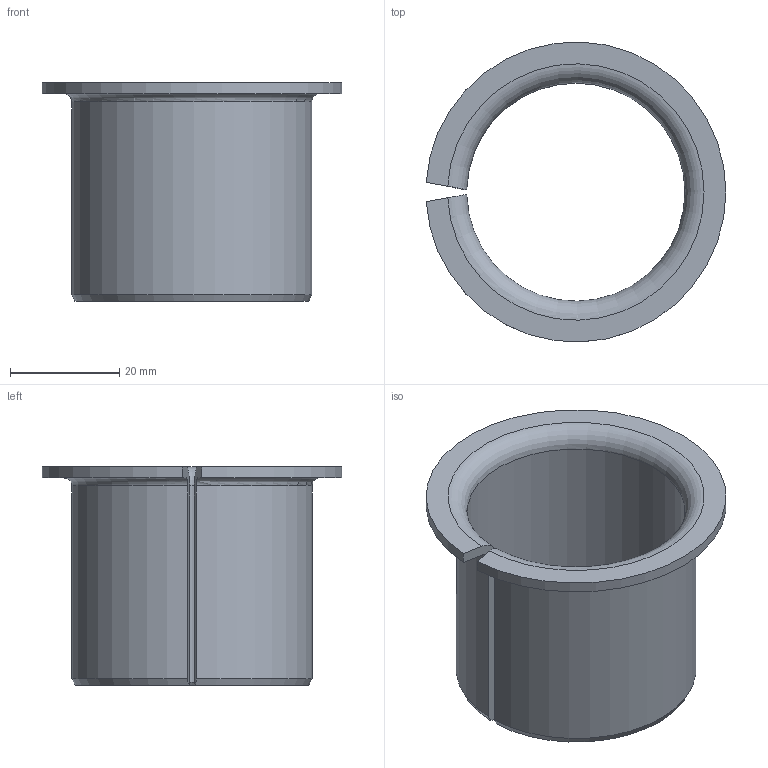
import cadquery as cq
import math

height = 40.0
bore_radius = 20.0
wall = 2.0
flange_radius = 27.5
inner_bend_radius = 3.5

outer_chamfer_height = 1.2
outer_chamfer_angle = 25.0
inner_chamfer_height = 0.5
inner_chamfer_angle = 35.0

split_apex_radius = 17.5
split_side_angle = 10.0

sleeve_radius = bore_radius + wall
flange_underside = height - wall
outer_bend_radius = inner_bend_radius - wall
bend_start_height = height - inner_bend_radius
bend_end_radius = bore_radius + inner_bend_radius
outer_chamfer_depth = outer_chamfer_height * math.tan(math.radians(outer_chamfer_angle))
inner_chamfer_depth = inner_chamfer_height * math.tan(math.radians(inner_chamfer_angle))


def bend_midpoint(radius):
    """Middle of a quarter bend around the common bend centre, as (radius, Z)."""
    offset = radius * math.sqrt(0.5)
    return (bend_end_radius - offset, bend_start_height + offset)


def flanged_sleeve():
    """Sheet of constant thickness, bent from sleeve to flange, revolved about Z."""
    profile = (
        cq.Workplane("XZ")
        .moveTo(bore_radius + inner_chamfer_depth, 0)
        .lineTo(sleeve_radius - outer_chamfer_depth, 0)
        .lineTo(sleeve_radius, outer_chamfer_height)
        .lineTo(sleeve_radius, bend_start_height)
        .threePointArc(bend_midpoint(outer_bend_radius), (bend_end_radius, flange_underside))
        .lineTo(flange_radius, flange_underside)
        .lineTo(flange_radius, height)
        .lineTo(bend_end_radius, height)
        .threePointArc(bend_midpoint(inner_bend_radius), (bore_radius, bend_start_height))
        .lineTo(bore_radius, inner_chamfer_height)
        .close()
    )
    sleeve = profile.revolve(360, (0, 0, 0), (0, 1, 0))
    return sleeve.rotate((0, 0, 0), (0, 0, 1), 180)


def split_cutter():
    """Full-height wedge that widens outwards along -X."""
    outer_x = -flange_radius - wall
    outer_half_width = (-split_apex_radius - outer_x) * math.tan(math.radians(split_side_angle))
    return (
        cq.Workplane("XY")
        .moveTo(-split_apex_radius, 0)
        .lineTo(outer_x, outer_half_width)
        .lineTo(outer_x, -outer_half_width)
        .close()
        .extrude(height)
    )


result = flanged_sleeve().cut(split_cutter())